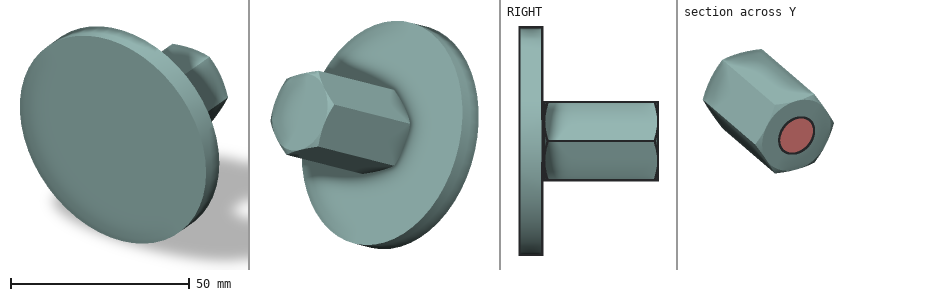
import cadquery as cq
import math

DISC_DIAMETER = 64.0
DISC_THICKNESS = 6.45
NECK_BASE_DIAMETER = 12.3
NECK_TOP_DIAMETER = 11.4
NECK_HEIGHT = 0.5
NUT_ACROSS_FLATS = 22.0
NUT_LENGTH = 32.0
NUT_CHAMFER_ANGLE = 30.0

nut_start = DISC_THICKNESS + NECK_HEIGHT
nut_end = nut_start + NUT_LENGTH
nut_flat_radius = NUT_ACROSS_FLATS / 2
nut_corner_radius = nut_flat_radius / math.cos(math.radians(30))
chamfer_slope = math.tan(math.radians(NUT_CHAMFER_ANGLE))
chamfer_depth = (nut_corner_radius - nut_flat_radius) * chamfer_slope


def revolve_about_y(points):
    """Revolve a closed (radius, Y) profile around the Y axis."""
    profile = cq.Workplane("XY").polyline(points).close()
    return profile.revolve(360, (0, 0, 0), (0, 1, 0))


def make_foot():
    """Round disc with a short tapered neck that meets the nut."""
    return revolve_about_y([
        (0, 0),
        (DISC_DIAMETER / 2, 0),
        (DISC_DIAMETER / 2, DISC_THICKNESS),
        (NECK_BASE_DIAMETER / 2, DISC_THICKNESS),
        (NECK_TOP_DIAMETER / 2, nut_start),
        (0, nut_start),
    ])


def make_nut():
    """Long hexagon, corners along X, with conical chamfers on both ends."""
    hexagon = (
        cq.Workplane("XZ", origin=(0, nut_start, 0))
        .polygon(6, 2 * nut_corner_radius)
        .extrude(-NUT_LENGTH)
    )
    chamfer_envelope = revolve_about_y([
        (0, nut_start),
        (nut_flat_radius, nut_start),
        (nut_corner_radius, nut_start + chamfer_depth),
        (nut_corner_radius, nut_end - chamfer_depth),
        (nut_flat_radius, nut_end),
        (0, nut_end),
    ])
    return hexagon.intersect(chamfer_envelope)


foot = make_foot()
nut = make_nut()

result = cq.Compound.makeCompound([foot.val(), nut.val()])